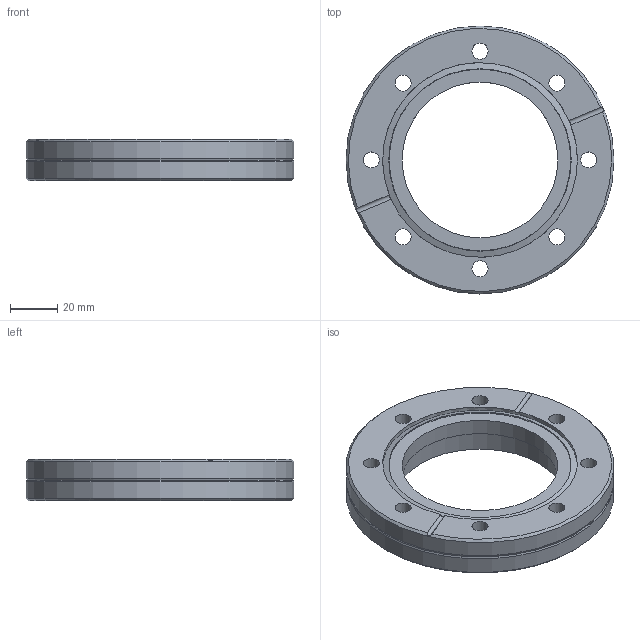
import cadquery as cq
import math

outer_radius = 113.5 / 2
thickness = 17.5
bore_radius = 33.0
rim_chamfer = 1.0

socket_radius = 35.1
socket_depth = 9.5

rim_groove_width = 1.6
rim_groove_depth = 0.3

recess_radius = 41.25
knife_radius = 38.65
inner_face_radius = 38.5
knife_angle = 20.0
knife_tip_depth = 0.75
inner_face_depth = 1.15
knife_height = (recess_radius - knife_radius) * math.tan(math.radians(knife_angle))
recess_depth = knife_tip_depth + knife_height

bolt_count = 8
bolt_circle_radius = 46.1
bolt_hole_diameter = 6.8

leak_groove_width = 2.1
leak_groove_depth = 0.7
leak_groove_angle = 22.5


def flange_body():
    """Ring with the tube socket, recess, knife edge, rim chamfers and rim groove, revolved about Z."""
    middle = thickness / 2
    half_groove = rim_groove_width / 2
    chamfer_radius = outer_radius - rim_chamfer
    profile = [
        (bore_radius, socket_depth),
        (socket_radius, socket_depth),
        (socket_radius, 0),
        (chamfer_radius, 0),
        (outer_radius, rim_chamfer),
        (outer_radius, middle - half_groove),
        (outer_radius - rim_groove_depth, middle),
        (outer_radius, middle + half_groove),
        (outer_radius, thickness - rim_chamfer),
        (chamfer_radius, thickness),
        (recess_radius, thickness),
        (recess_radius, thickness - recess_depth),
        (knife_radius, thickness - knife_tip_depth),
        (inner_face_radius, thickness - inner_face_depth),
        (bore_radius, thickness - inner_face_depth),
    ]
    return cq.Workplane("XZ").polyline(profile).close().revolve(360, (0, 0, 0), (0, 1, 0))


def bolt_holes():
    """Cylinders for the ring of through holes."""
    return (
        cq.Workplane("XY")
        .polarArray(bolt_circle_radius, 0, 360, bolt_count)
        .circle(bolt_hole_diameter / 2)
        .extrude(thickness)
    )


def leak_groove(angle):
    """Round bar lying in the top face, from inside the recess out past the rim."""
    half_width = leak_groove_width / 2
    bar_radius = (half_width**2 + leak_groove_depth**2) / (2 * leak_groove_depth)
    axis_height = thickness - leak_groove_depth + bar_radius
    start = (recess_radius + knife_radius) / 2
    return (
        cq.Workplane("YZ", origin=(start, 0, axis_height))
        .circle(bar_radius)
        .extrude(outer_radius)
        .rotate((0, 0, 0), (0, 0, 1), angle)
    )


result = flange_body().cut(bolt_holes())
for angle in (leak_groove_angle, leak_groove_angle + 180):
    result = result.cut(leak_groove(angle))